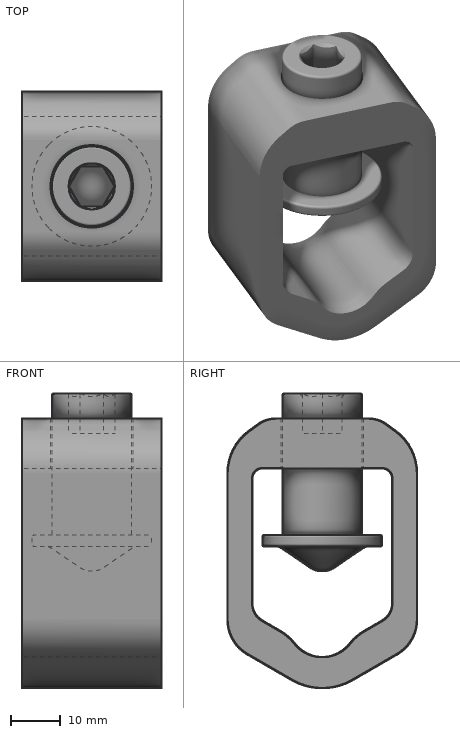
import cadquery as cq
import math


length = 28.0
outer_half_width = 19.0
wall = 5.0
top_wall = 10.0
housing_height = 54.04
floor_slope = math.radians(30)
floor_radius = 12.0
lower_corner_radius = 8.0
shoulder_slope = math.radians(36)
shoulder_start = 11.22
shoulder_top_radius = 6.0
shoulder_side_radius = 10.5

inner_half_width = outer_half_width - wall
ceiling = housing_height - top_wall
opening_apex = 6.6
ceiling_radius = 2.0
opening_lower_radius = 4.0
groove_radius = 7.0
groove_bottom = 6.25
groove_lip_radius = 10.0

screw_protrusion = 5.0
screw_top = housing_height + screw_protrusion
screw_radius = 8.0
screw_edge_radius = 0.5
screw_clearance = 0.25
disc_radius = 12.0
disc_top = 30.7
disc_thickness = 2.3
disc_edge_radius = 0.5
cone_slope = math.radians(34.2)
cone_base_radius = 8.6
cone_root_radius = 2.0
tip_radius = 4.2
hex_sides = 6
hex_across_flats = 8.0
hex_depth = 8.0


def mirrored(y, z):
    """The same corner on both sides of the middle plane."""
    return [(y, z), (-y, z)]


def prism(corners):
    """Closed polygon in the YZ plane, extruded symmetrically along X."""
    return cq.Workplane("YZ").polyline(corners).close().extrude(length / 2, both=True)


def round_edges(body, corners, radius):
    """Fillet the X-direction edges that pass through the given (y, z) corners."""
    edges = body.newObject([])
    for y, z in corners:
        edges = edges.add(body.edges("|X").edges(cq.NearestToPointSelector((0, y, z))))
    return edges.fillet(radius)


def make_outer_block():
    bottom_apex = -floor_radius * (1 / math.cos(floor_slope) - 1)
    side_bottom = bottom_apex + outer_half_width * math.tan(floor_slope)
    side_top = housing_height - (outer_half_width - shoulder_start) * math.tan(shoulder_slope)

    block = prism([
        (0, bottom_apex),
        (outer_half_width, side_bottom),
        (outer_half_width, side_top),
        (shoulder_start, housing_height),
        (-shoulder_start, housing_height),
        (-outer_half_width, side_top),
        (-outer_half_width, side_bottom),
    ])
    block = round_edges(block, [(0, bottom_apex)], floor_radius)
    block = round_edges(block, mirrored(outer_half_width, side_bottom), lower_corner_radius)
    block = round_edges(block, mirrored(outer_half_width, side_top), shoulder_side_radius)
    return round_edges(block, mirrored(shoulder_start, housing_height), shoulder_top_radius)


def make_opening():
    """Space inside the housing: straight walls, V floor and a round groove along its middle."""
    side_bottom = opening_apex + inner_half_width * math.tan(floor_slope)
    opening = prism([
        (0, opening_apex),
        (inner_half_width, side_bottom),
        (inner_half_width, ceiling),
        (-inner_half_width, ceiling),
        (-inner_half_width, side_bottom),
    ])
    opening = round_edges(opening, mirrored(inner_half_width, ceiling), ceiling_radius)
    opening = round_edges(opening, mirrored(inner_half_width, side_bottom), opening_lower_radius)

    groove_centre = groove_bottom + groove_radius
    groove = (
        cq.Workplane("YZ")
        .center(0, groove_centre)
        .circle(groove_radius)
        .extrude(length / 2, both=True)
    )
    opening = opening.union(groove)

    floor_distance = (groove_centre - opening_apex) * math.cos(floor_slope)
    half_chord = math.sqrt(groove_radius**2 - floor_distance**2)
    lip_y = floor_distance * math.sin(floor_slope) + half_chord * math.cos(floor_slope)
    lip_z = opening_apex + lip_y * math.tan(floor_slope)
    return round_edges(opening, mirrored(lip_y, lip_z), groove_lip_radius)


def make_housing():
    screw_hole = (
        cq.Workplane("XY")
        .workplane(offset=ceiling - ceiling_radius)
        .circle(screw_radius + screw_clearance)
        .extrude(top_wall + 2 * ceiling_radius)
    )
    return make_outer_block().cut(make_opening()).cut(screw_hole)


def make_hex_socket():
    """Hexagon with corners along X, and a 45 degree countersink as wide as its corners."""
    corner_radius = hex_across_flats / 2 / math.cos(math.pi / hex_sides)
    hexagon = (
        cq.Workplane("XY")
        .workplane(offset=screw_top - hex_depth)
        .polygon(hex_sides, 2 * corner_radius)
        .extrude(hex_depth)
    )
    countersink_point = cq.Vector(0, 0, screw_top - corner_radius)
    countersink = cq.Workplane(
        cq.Solid.makeCone(0, corner_radius, corner_radius, pnt=countersink_point)
    )
    return hexagon.union(countersink)


def make_screw():
    """Round screw with a pressure disc and a rounded conical point, turned about Z."""
    disc_bottom = disc_top - disc_thickness
    apex = disc_bottom - cone_base_radius * math.tan(cone_slope)
    tip = apex + tip_radius * (1 / math.cos(cone_slope) - 1)

    def tip_point(angle):
        """Point of the tip sphere at an angle from straight down."""
        return (tip_radius * math.sin(angle), tip + tip_radius * (1 - math.cos(angle)))

    root_reach = cone_root_radius * math.tan(cone_slope / 2)
    root_r = cone_base_radius - root_reach * math.cos(cone_slope)
    root_z = disc_bottom - root_reach * math.sin(cone_slope)

    screw = (
        cq.Workplane("XZ")
        .moveTo(0, tip)
        .threePointArc(tip_point(cone_slope / 2), tip_point(cone_slope))
        .lineTo(root_r, root_z)
        .tangentArcPoint((cone_base_radius + root_reach, disc_bottom), relative=False)
        .lineTo(disc_radius, disc_bottom)
        .lineTo(disc_radius, disc_top)
        .lineTo(screw_radius, disc_top)
        .lineTo(screw_radius, screw_top)
        .lineTo(0, screw_top)
        .close()
        .revolve(360, (0, 0, 0), (0, 1, 0))
    )
    widest_circles = cq.selectors.RadiusNthSelector(-1)
    screw = screw.edges("%CIRCLE").edges(widest_circles).fillet(disc_edge_radius)
    screw = screw.faces(">Z").edges().fillet(screw_edge_radius)
    return screw.cut(make_hex_socket())


housing = make_housing()
screw = make_screw()

result = cq.Compound.makeCompound([housing.val(), screw.val()])